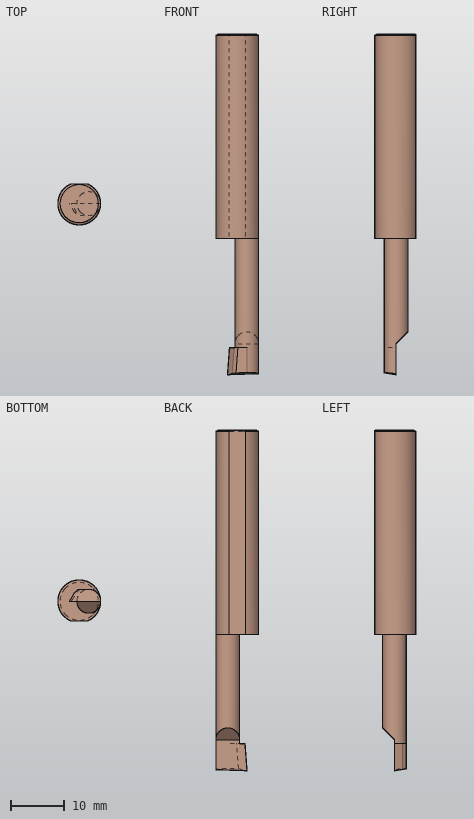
import cadquery as cq
import math

length = 63.5
shank_radius = 4.0
shank_bottom = 25.4
flat_offset = 3.7
chamfer_radial = 0.45
chamfer_height = 0.25

neck_radius = 2.2
neck_x = shank_radius - neck_radius

head_height = 5.1
head_lean = 0.4
tip_x = -1.85
relief_corner = (-0.95, -1.5)
heel_x = -0.25

rake_runout = 5.8
rake_slope = 45.0
end_relief_angle = 8.0
end_edge_angle = 2.0


def make_shank():
    """Cylinder with a chamfered top edge and a flat along its +Y side."""
    shank = (
        cq.Workplane("XY", origin=(0, 0, shank_bottom))
        .circle(shank_radius)
        .extrude(length - shank_bottom)
        .faces(">Z")
        .edges()
        .chamfer(chamfer_height, chamfer_radial)
    )
    flat_cut = cq.Workplane("XY").box(
        2 * shank_radius, shank_radius, length, centered=(True, False, False)
    )
    return shank.cut(flat_cut.translate((0, flat_offset, 0)))


def make_neck():
    return cq.Workplane("XY").center(neck_x, 0).circle(neck_radius).extrude(shank_bottom)


def head_outline(lean):
    """Cutting head section: tip, two relief faces and a front face tangent to the neck."""
    return [
        (tip_x + lean, 0),
        (relief_corner[0] + lean, relief_corner[1]),
        (heel_x + lean, -neck_radius),
        (neck_x, -neck_radius),
        (neck_x, 0),
    ]


def make_head():
    return (
        cq.Workplane("XY")
        .polyline(head_outline(0))
        .close()
        .workplane(offset=head_height)
        .polyline(head_outline(head_lean))
        .close()
        .loft(ruled=True)
    )


def make_rake_cut():
    """Removes the +Y half of the neck at the tip, running out along a slope."""
    reach = 2 * neck_radius
    runout_top = rake_runout + reach * math.tan(math.radians(rake_slope))
    return (
        cq.Workplane("YZ", origin=(neck_x, 0, 0))
        .polyline([(0, 0), (0, rake_runout), (reach, runout_top), (reach, 0)])
        .close()
        .extrude(reach, both=True)
    )


def make_end_cut():
    """Clears the end face so that the tip corner is the lowest point."""
    size = 4 * shank_radius
    return (
        cq.Workplane("XY")
        .box(size, size, size, centered=(True, True, False))
        .translate((0, 0, -size))
        .rotate((0, 0, 0), (1, 0, 0), -end_relief_angle)
        .rotate((0, 0, 0), (0, 1, 0), -end_edge_angle)
        .translate((tip_x, 0, 0))
    )


tool_end = make_neck().union(make_head()).cut(make_rake_cut()).cut(make_end_cut())
result = make_shank().union(tool_end)